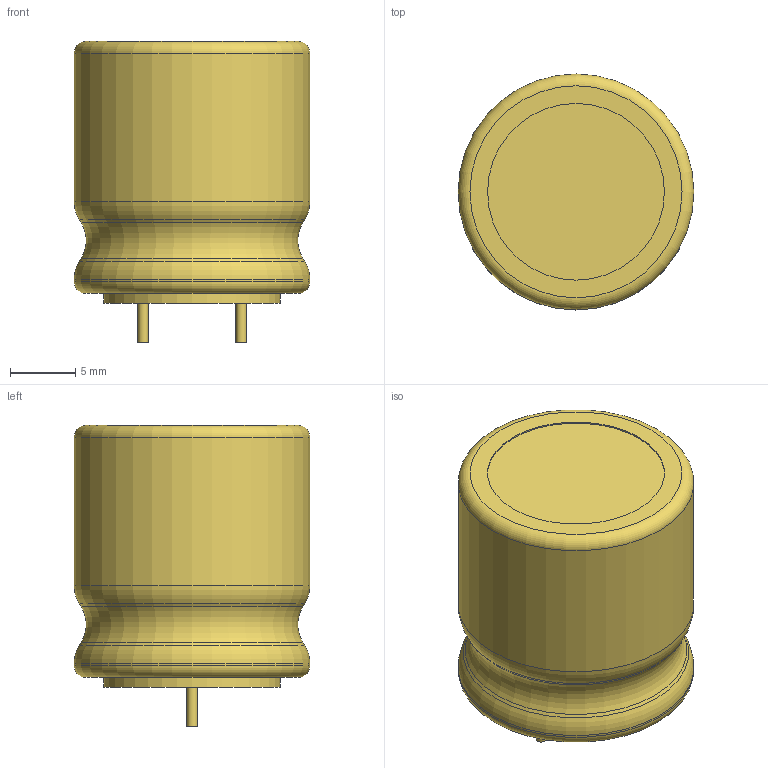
import cadquery as cq
import math


can_diameter = 18.0
can_radius = can_diameter / 2
can_top = 20.0
rim_radius = 0.05 * can_diameter

plug_radius = 0.375 * can_diameter
plug_height = 0.75
recess_depth = 0.1

groove_center = 4.79
groove_half_height = 2.98
taper_height = 0.23
taper_angle = math.radians(31.4)

lead_diameter = 0.8
lead_pitch = 7.5
lead_length = 3.0


def make_can():
    """Revolved can with rounded rims and the crimp groove."""
    arc_height = (groove_half_height - taper_height) / 2
    arc_inset = arc_height * math.tan(taper_angle / 2)
    shoulder_radius = can_radius - arc_inset
    waist_edge_radius = shoulder_radius - taper_height * math.tan(taper_angle)
    waist_radius = waist_edge_radius - arc_inset

    groove_bottom = groove_center - groove_half_height
    groove_top = groove_center + groove_half_height
    rim_flat_radius = can_radius - rim_radius

    profile = (
        cq.Workplane("XZ")
        .moveTo(0, plug_height)
        .lineTo(rim_flat_radius, plug_height)
        .radiusArc((can_radius, plug_height + rim_radius), -rim_radius)
        .lineTo(can_radius, groove_bottom)
        .tangentArcPoint((shoulder_radius, groove_bottom + arc_height), relative=False)
        .lineTo(waist_edge_radius, groove_center - arc_height)
        .threePointArc(
            (waist_radius, groove_center),
            (waist_edge_radius, groove_center + arc_height),
        )
        .lineTo(shoulder_radius, groove_top - arc_height)
        .tangentArcPoint((can_radius, groove_top), relative=False)
        .lineTo(can_radius, can_top - rim_radius)
        .radiusArc((rim_flat_radius, can_top), -rim_radius)
        .lineTo(0, can_top)
        .close()
    )
    return profile.revolve(360, (0, 0, 0), (0, 1, 0))


def make_top_recess():
    """Disc removed from the top face."""
    recess_floor = cq.Workplane("XY").workplane(offset=can_top - recess_depth)
    return recess_floor.circle(plug_radius).extrude(recess_depth)


def make_plug():
    """Disc standing out below the can."""
    return cq.Workplane("XY").circle(plug_radius).extrude(plug_height)


def make_leads():
    """Two round wires below the plug, spaced along X."""
    positions = [(-lead_pitch / 2, 0), (lead_pitch / 2, 0)]
    return cq.Workplane("XY").pushPoints(positions).circle(lead_diameter / 2).extrude(-lead_length)


result = make_can().cut(make_top_recess()).union(make_plug()).union(make_leads())